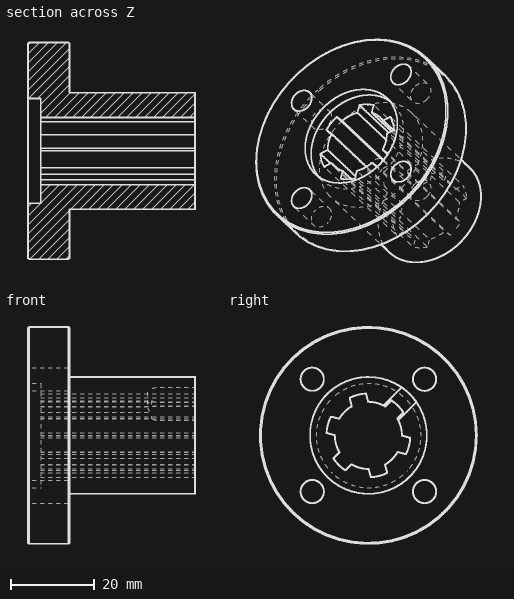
import cadquery as cq

total_length = 40.0
flange_diameter = 52
flange_thickness = 10.0
flange_chamfer = 0.3
sleeve_diameter = 28.0

recess_diameter = 25.0
recess_depth = 3.0
bore_diameter = 16.0
spline_diameter = 20.0
spline_width = 4.0
spline_count = 6
first_spline_angle = 45

bolt_hole_diameter = 5.5
bolt_circle_diameter = 38.0
bolt_count = 4
first_bolt_angle = 45

keyway_width = 5.0
keyway_straight_length = 9.0
keyway_angle = 45


def cylinder_along_x(diameter, length, start=0):
    return cq.Workplane("YZ", origin=(start, 0, 0)).circle(diameter / 2).extrude(length)


def make_body():
    flange = cylinder_along_x(flange_diameter, flange_thickness).edges().chamfer(flange_chamfer)
    return flange.union(cylinder_along_x(sleeve_diameter, total_length))


def make_splined_bore():
    """Round bore with straight-sided grooves whose outer ends follow the spline diameter."""
    grooves = cq.Workplane("YZ")
    for index in range(spline_count):
        groove = (
            cq.Workplane("YZ")
            .center(spline_diameter / 2, 0)
            .rect(spline_diameter, spline_width)
            .extrude(total_length)
            .rotate((0, 0, 0), (1, 0, 0), first_spline_angle + index * 360 / spline_count)
        )
        grooves = grooves.add(groove)
    grooves = grooves.combine().intersect(cylinder_along_x(spline_diameter, total_length))
    return cylinder_along_x(bore_diameter, total_length).union(grooves)


def make_bolt_holes():
    return (
        cq.Workplane("YZ")
        .polarArray(bolt_circle_diameter / 2, first_bolt_angle, 360, bolt_count)
        .circle(bolt_hole_diameter / 2)
        .extrude(flange_thickness)
    )


def make_keyway():
    """Slot through the wall into the bore, open at the free end and rounded at its inner end."""
    round_center_x = total_length - keyway_straight_length
    height = sleeve_diameter / 2
    straight = (
        cq.Workplane("XY", origin=(round_center_x, 0, 0))
        .center(keyway_straight_length / 2, 0)
        .rect(keyway_straight_length, keyway_width)
        .extrude(height)
    )
    rounded_end = (
        cq.Workplane("XY", origin=(round_center_x, 0, 0))
        .circle(keyway_width / 2)
        .extrude(height)
    )
    return straight.union(rounded_end).rotate((0, 0, 0), (1, 0, 0), keyway_angle - 90)


result = (
    make_body()
    .cut(cylinder_along_x(recess_diameter, recess_depth))
    .cut(make_splined_bore())
    .cut(make_bolt_holes())
    .cut(make_keyway())
)